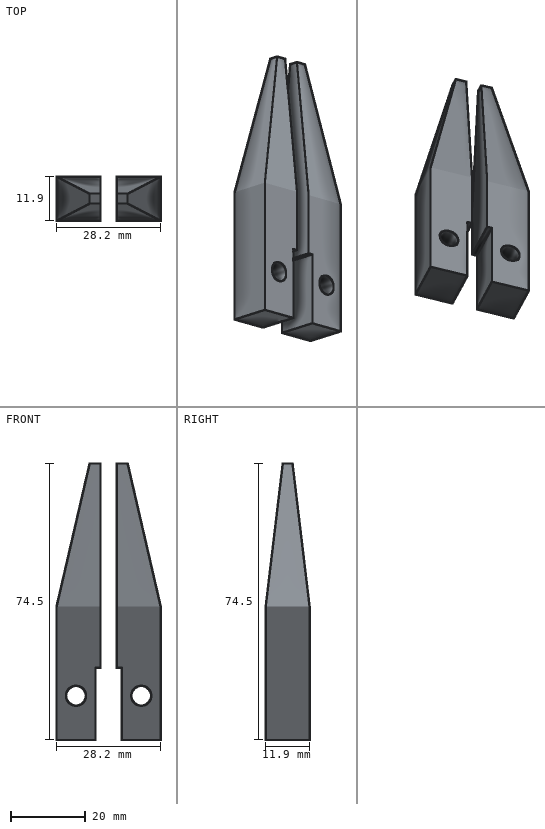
import cadquery as cq

total_width = 28.15
jaw_depth = 11.9
jaw_height = 74.45

jaw_width = 11.9
shank_height = 35.8
tip_width = 3.0
tip_depth = 2.7

relief_depth = 1.35
relief_height = 19.4

hole_diameter = 5.3
hole_height = 11.9

inner_face = total_width / 2 - jaw_width
outer_face = total_width / 2
relief_face = inner_face + relief_depth
hole_x = (relief_face + outer_face) / 2


def make_shank():
    """Straight block with the relief step on its inner face."""
    return (
        cq.Workplane("XZ")
        .moveTo(relief_face, 0)
        .lineTo(outer_face, 0)
        .lineTo(outer_face, shank_height)
        .lineTo(inner_face, shank_height)
        .lineTo(inner_face, relief_height)
        .lineTo(relief_face, relief_height)
        .close()
        .extrude(jaw_depth / 2, both=True)
    )


def make_nose():
    """Taper to the tip on three sides; the inner face stays vertical."""
    return (
        cq.Workplane("XY", origin=(0, 0, shank_height))
        .center(inner_face + jaw_width / 2, 0)
        .rect(jaw_width, jaw_depth)
        .workplane(offset=jaw_height - shank_height)
        .center((tip_width - jaw_width) / 2, 0)
        .rect(tip_width, tip_depth)
        .loft(ruled=True)
    )


def make_cross_hole():
    """Cylinder through the full depth of the shank."""
    return (
        cq.Workplane("XZ")
        .center(hole_x, hole_height)
        .circle(hole_diameter / 2)
        .extrude(jaw_depth, both=True)
    )


def make_jaw(turn):
    """One jaw, turned about the vertical centre line to its side of the pair."""
    jaw = make_shank().union(make_nose()).cut(make_cross_hole())
    return jaw.rotate((0, 0, 0), (0, 0, 1), turn)


jaws = [make_jaw(turn) for turn in (0, 180)]

result = cq.Compound.makeCompound([jaw.val() for jaw in jaws])